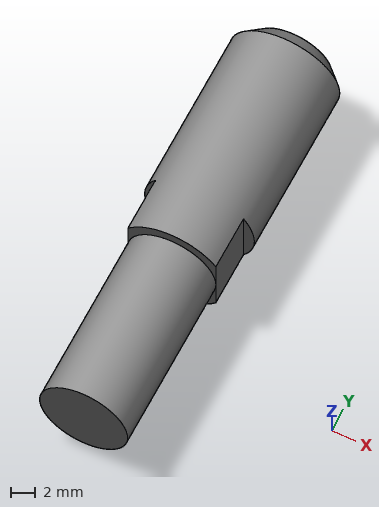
import cadquery as cq

total_length = 38.0
body_diameter = 10.0
spigot_diameter = 8.0
spigot_length = 16.0
chamfer_size = 1.5

flat_length = 5.0
across_flats = spigot_diameter

body_length = total_length - spigot_length


def cylinder_along_y(diameter, start_y, length):
    """Solid cylinder on the Y axis, running from start_y toward +Y."""
    plane = cq.Workplane("XZ", origin=(0, start_y, 0))
    return plane.circle(diameter / 2).extrude(-length)


def flat_cutter(side):
    """Block that removes the body beyond one flat; side is -1 or +1 along X."""
    width = body_diameter - across_flats
    center_x = side * (across_flats + width) / 2
    center_y = spigot_length + flat_length / 2
    return cq.Workplane("XY").box(width, flat_length, body_diameter).translate((center_x, center_y, 0))


body = cylinder_along_y(body_diameter, spigot_length, body_length)
body = body.faces(">Y").chamfer(chamfer_size)
for side in (-1, 1):
    body = body.cut(flat_cutter(side))

spigot = cylinder_along_y(spigot_diameter, 0, spigot_length)

result = body.union(spigot)